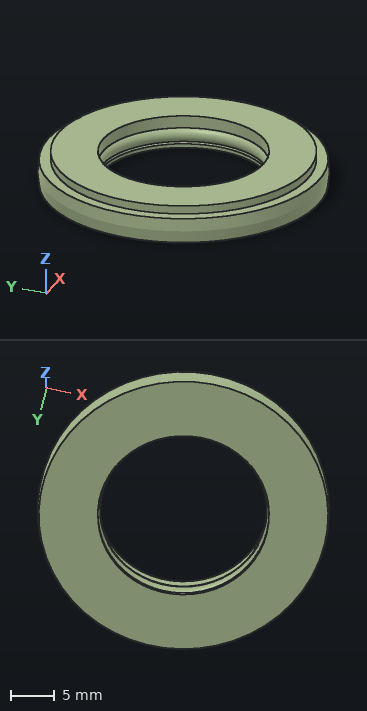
import cadquery as cq

outer_radius = 16.65
rim_end_radius = 16.5
boss_radius = 15.15
bore_radius = 9.75
total_height = 4.0
boss_height = 1.0
rim_height = total_height - boss_height
rim_mid_height = rim_height / 2

seal_thickness = 1.8
seal_protrusion = 0.25
seal_inner_radius = bore_radius - seal_protrusion
seal_centre_radius = seal_inner_radius + seal_thickness / 2

groove_width = 2.0
groove_radius = seal_inner_radius + seal_thickness
groove_bottom = rim_mid_height - groove_width / 2
groove_top = rim_mid_height + groove_width / 2


def revolve_about_z(profile):
    """Turn an XZ profile a full turn about the Z axis."""
    return profile.close().revolve(360, (0, 0, 0), (0, 1, 0))


def make_housing():
    """Stepped ring with a double-tapered rim and a groove in its bore."""
    profile = cq.Workplane("XZ").polyline([
        (bore_radius, 0),
        (rim_end_radius, 0),
        (outer_radius, rim_mid_height),
        (rim_end_radius, rim_height),
        (boss_radius, rim_height),
        (boss_radius, total_height),
        (bore_radius, total_height),
        (bore_radius, groove_top),
        (groove_radius, groove_top),
        (groove_radius, groove_bottom),
        (bore_radius, groove_bottom),
    ])
    return revolve_about_z(profile)


def make_seal_ring():
    """Torus seated in the groove and standing slightly into the bore."""
    seal = cq.Solid.makeTorus(seal_centre_radius, seal_thickness / 2)
    return cq.Workplane(seal).translate((0, 0, rim_mid_height))


housing = make_housing()
seal_ring = make_seal_ring()

result = cq.Compound.makeCompound([housing.val(), seal_ring.val()])